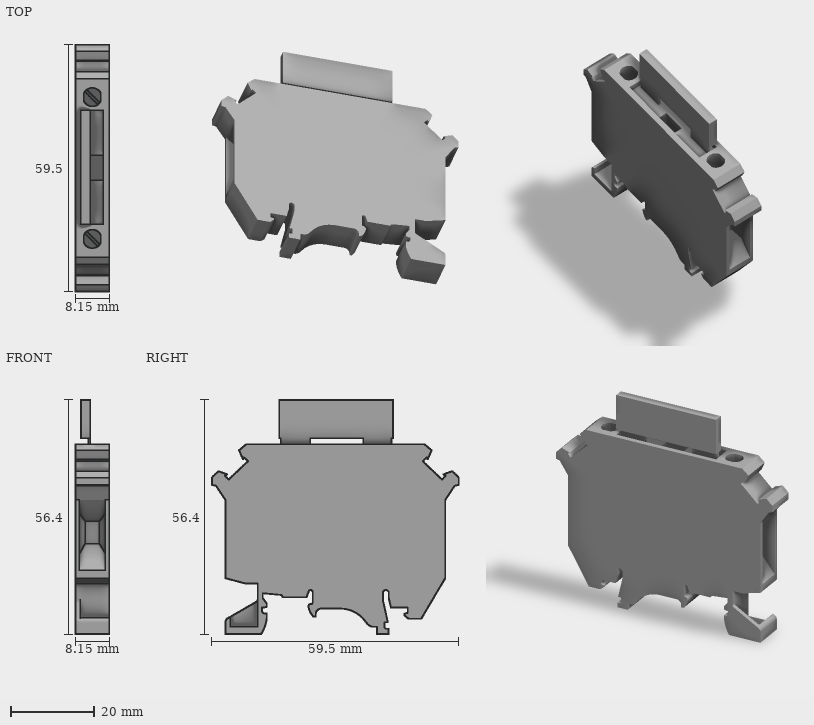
import cadquery as cq
import math


thickness = 8.15
half_length = 29.75
total_height = 56.4
housing_top = 45.75
wall_y = 26.5
wall_top = 32.3
wall_bottom = 13.45

plate_left = 1.3
plate_right = 3.6
plate_back = 13.9
plate_front = -13.55
plate_bottom = 47.1
leg_thickness = 0.565
leg_spans = [(6.65, 13.55), (-13.15, -6.0)]
slot_right = 6.65
slot_depth = 1.8
well_back = 3.1
well_front = -2.9
well_depth = 5.95

screw_y = 17.1
shaft_diameter = 4.45
shaft_width = 4.05
shaft_depth = 11.9
driver_slot_width = 0.65
driver_slot_depth = 0.9
driver_slot_angle = -45

funnel_side = 0.95
funnel_bottom = 15.35
funnel_depth = 5.4
throat_width = 3.45
throat_bottom = 21.8
throat_top = 27.2
side_taper_start = 0.63

post_y = -18.75
post_top = 12.15
web_thickness = 1.15
foot_floor = 1.8
lip_inner_y = -25.35
lip_top = 4.0
lip_radius = wall_y + lip_inner_y
lip_round_bottom = lip_top - lip_radius
web_slope = math.radians(30)
web_fillet = 0.55


def box(x_span, y_span, z_span):
    """Axis-aligned block between the given limits."""
    sizes = [span[1] - span[0] for span in (x_span, y_span, z_span)]
    block = cq.Workplane("XY").box(*sizes, centered=False)
    return block.translate((x_span[0], y_span[0], z_span[0]))


def lip_point(angle):
    """Point on the lip rounding, at an angle turned outward from its crest."""
    return (
        lip_inner_y - lip_radius * math.sin(angle),
        lip_round_bottom + lip_radius * math.cos(angle),
    )


web_start_y, web_start_z = lip_point(web_slope)
web_top = web_start_z + (post_y - web_start_y) * math.tan(web_slope)



shoulder = [
    (21.5, housing_top),
    (23.2, 44.25),
    (22.25, 42.05),
    (22.0, 42.55),
    (21.05, 41.65),
    (25.7, 37.25),
    (26.55, 38.15),
    (26.0, 38.5),
    (28.15, 39.25),
    (half_length, 37.7),
    (half_length, 35.95),
    (28.75, 35.7),
    (wall_y, wall_top),
]


def housing():
    """Housing plate with the rail feet, extruded over the full thickness."""
    outline = cq.Workplane("YZ").polyline(shoulder)

    slit_back = 12.85
    slit_front = 11.5
    slit_top = 10.6
    slit_mid = (slit_back + slit_front) / 2
    slit_shoulder = 10.1
    outline = (
        outline.lineTo(wall_y, wall_bottom)
        .lineTo(20.7, 3.7)
        .lineTo(17.6, 3.7)
        .lineTo(16.6, 4.5)
        .lineTo(16.6, 4.95)
        .lineTo(17.45, 5.2)
        .lineTo(17.45, 6.35)
        .lineTo(13.4, 6.35)
        .lineTo(slit_back, 8.6)
        .lineTo(slit_back, slit_shoulder)
        .threePointArc((slit_mid, slit_top), (slit_front, slit_shoulder))
    )

    arch_top = 6.1
    outline = (
        outline.lineTo(slit_front, 8.15)
        .lineTo(12.7, 2.85)
        .lineTo(11.9, 2.85)
        .lineTo(11.9, 1.55)
        .lineTo(12.15, 1.3)
        .lineTo(12.85, 1.3)
        .lineTo(12.85, 0)
        .lineTo(10.0, 0)
        .lineTo(10.0, 1.7)
        .lineTo(9.0, 1.7)
        .threePointArc((8.15, 2.1), (7.5, 2.75))
        .lineTo(6.4, 4.0)
        .threePointArc((4.1, 5.55), (1.25, arch_top))
        .lineTo(-3.2, arch_top)
        .threePointArc((-4.3, 5.8), (-4.7, 4.75))
    )

    nose_slit = -5.5
    outline = (
        outline.lineTo(-4.7, 4.2)
        .lineTo(-5.3, 4.2)
        .threePointArc((-6.05, 5.3), (-6.5, 6.55))
        .threePointArc((-6.35, 7.0), (-5.95, 7.3))
        .lineTo(-5.65, 7.3)
        .lineTo(nose_slit, 7.55)
        .lineTo(nose_slit, 10.3)
        .threePointArc((-5.9, 10.6), (-6.4, 10.25))
        .lineTo(-6.9, 8.85)
    )

    latch_y = -16.5
    outline = (
        outline.lineTo(-12.7, 8.85)
        .lineTo(-13.0, 9.4)
        .lineTo(-17.45, 9.8)
        .lineTo(-17.45, 8.6)
        .lineTo(latch_y, 7.4)
        .lineTo(latch_y, 6.55)
        .lineTo(-17.25, 6.35)
        .lineTo(-17.6, 6.35)
        .lineTo(-17.6, 5.55)
        .threePointArc((-17.45, 5.2), (-17.15, 5.0))
        .lineTo(latch_y, 5.0)
        .lineTo(latch_y, 3.8)
        .threePointArc((-16.85, 2.15), (-17.85, 0))
    )

    corner_turn = math.pi / 2 - web_slope
    fillet_reach = web_fillet * math.tan(corner_turn / 2)
    fillet_low = (
        post_y - fillet_reach * math.cos(web_slope),
        web_top - fillet_reach * math.sin(web_slope),
    )
    fillet_mid = (
        post_y - web_fillet * (1 - math.cos(corner_turn / 2)),
        web_top + fillet_reach - web_fillet * math.sin(corner_turn / 2),
    )
    outline = (
        outline.lineTo(-wall_y, 0)
        .lineTo(-wall_y, lip_round_bottom)
        .threePointArc(lip_point(web_slope / 2 + math.pi / 4), lip_point(web_slope))
        .lineTo(*fillet_low)
        .threePointArc(fillet_mid, (post_y, web_top + fillet_reach))
        .lineTo(post_y, post_top)
        .lineTo(-21.55, post_top)
        .lineTo(-wall_y, wall_bottom)
    )

    for y, z in reversed(shoulder):
        outline = outline.lineTo(-y, z)
    return outline.close().extrude(thickness)




def foot_recess():
    """Space beside the web of the release foot, over the floor and the lip."""
    clear_top = web_top + web_fillet
    return (
        cq.Workplane("YZ", origin=(web_thickness, 0, 0))
        .moveTo(post_y, foot_floor)
        .lineTo(lip_inner_y, foot_floor)
        .lineTo(lip_inner_y, lip_top)
        .threePointArc(lip_point(math.pi / 4), (-wall_y, lip_round_bottom))
        .lineTo(-wall_y, clear_top)
        .lineTo(post_y, clear_top)
        .close()
        .extrude(thickness)
    )


def funnel():
    """Wire funnel in the -Y wall; its sides close in later than top and bottom."""
    inner_y = funnel_depth - wall_y
    side_profile = (
        cq.Workplane("YZ", origin=(funnel_side, 0, 0))
        .polyline([
            (-wall_y, funnel_bottom),
            (inner_y, throat_bottom),
            (inner_y, throat_top),
            (-wall_y, wall_top),
        ])
        .close()
        .extrude(thickness - 2 * funnel_side)
    )

    taper_y = side_taper_start * funnel_depth - wall_y
    throat_left = (thickness - throat_width) / 2
    throat_right = thickness - throat_left
    plan = (
        cq.Workplane("XY")
        .polyline([
            (funnel_side, -wall_y),
            (funnel_side, taper_y),
            (throat_left, inner_y),
            (throat_right, inner_y),
            (thickness - funnel_side, taper_y),
            (thickness - funnel_side, -wall_y),
        ])
        .close()
        .extrude(housing_top)
    )
    return side_profile.intersect(plan)


def screw_shaft(y):
    """Flat-sided screw shaft with the driver slot in the screw head below it."""
    shaft_bottom = housing_top - shaft_depth
    slot_bottom = shaft_bottom - driver_slot_depth
    middle = (thickness / 2, y)
    bore = (
        cq.Workplane("XY", origin=(0, 0, slot_bottom))
        .center(*middle)
        .circle(shaft_diameter / 2)
        .extrude(housing_top - slot_bottom)
    )
    flats = (
        cq.Workplane("XY", origin=(0, 0, shaft_bottom))
        .center(*middle)
        .rect(shaft_width, shaft_diameter)
        .extrude(shaft_depth)
    )
    driver_slot = (
        cq.Workplane("XY", origin=(0, 0, slot_bottom))
        .center(*middle)
        .transformed(rotate=(0, 0, driver_slot_angle))
        .rect(shaft_diameter, driver_slot_width)
        .extrude(driver_slot_depth)
    )
    return bore.intersect(flats.union(driver_slot))


slot_floor = housing_top - slot_depth
plug_slot = box((plate_left, slot_right), (plate_front, plate_back), (slot_floor, housing_top))
well = box((plate_right, slot_right), (well_front, well_back), (housing_top - well_depth, slot_floor))
plate = box((plate_left, plate_right), (plate_front, plate_back), (plate_bottom, total_height))

result = housing().cut(foot_recess()).cut(plug_slot).cut(well)
for end_y in (-screw_y, screw_y):
    result = result.cut(screw_shaft(end_y))
result = result.cut(funnel()).cut(funnel().mirror("XZ"))

for leg_span in leg_spans:
    leg = box((plate_right - leg_thickness, plate_right), leg_span, (slot_floor, plate_bottom))
    result = result.union(leg)
result = result.union(plate)